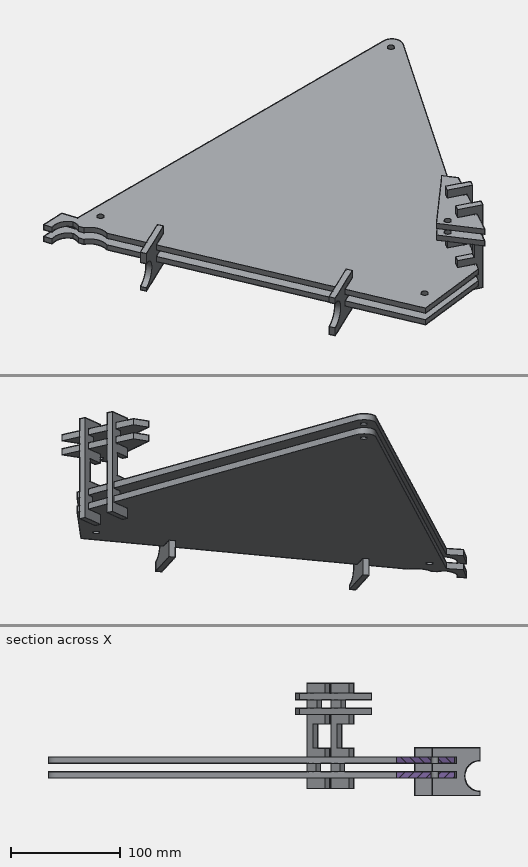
import cadquery as cq
import math

SHEET = 6.0
PLATE_PITCH = 13.5
SMALL_PLATE_Z = 58.0
HOLE_DIAMETER = 6.5
LARGE_LEVELS = [0, PLATE_PITCH]
SMALL_LEVELS = [SMALL_PLATE_Z, SMALL_PLATE_Z + PLATE_PITCH]

APEX_CENTRE = (171.3, 382.5)
APEX_RADIUS = 10.7
HEEL = (23.5, 30.0)
LEFT_EDGE_ANGLE = 68.7
RIGHT_CORNER = (385.5, 121.0)
RIGHT_EDGE_ANGLE = -52.5
LOWER_RIGHT_CORNER = (367.0, 48.0)
LOWER_EDGE_START = (57.5, 21.0)
FOOT_TOP_LEFT = (7.5, 30.0)
FOOT_BOTTOM_LEFT = (0, 7.0)
FOOT_BOTTOM_RIGHT = (8.7, 7.0)
FOOT_ARC_MIDDLE = (13.5, 18.3)
FOOT_ARC_END = (22.3, 22.5)
BUMP_LEFT = (30.0, 19.0)
BUMP_LEFT_MIDDLE = (26.2, 21.5)
BUMP_RIGHT = (35.0, 19.0)
HOLLOW_MIDDLE = (45.7, 24.0)
LARGE_HOLES = [(171.3, 380.5), (41.5, 41.0), (357.0, 67.5)]

SMALL_OUTLINE = [(327.5, 164.0), (342.5, 168.0), (397.5, 110.0), (353.5, 98.5)]
SMALL_HOLE = (361.2, 107.0)

LINK_ANGLE = 43.4
LINK_OUTER_CENTRES = [(362.0, 155.5), (383.0, 133.5)]
LINK_BOTTOM = -9.5
LINK_TOP = 86.5
LINK_SPINE = 8.5
LINK_ARM = 24.2
LARGE_TOOTH = 12.0
SMALL_TOOTH = 13.0
WINDOW_BOTTOM = 27.5
WINDOW_TOP = 49.3

CRADLE_ANGLE = -85.1
CRADLE_PLACEMENTS = [
    ((101.0, 43.5), 2.0),
    ((284.5, 59.2), 7.0),
]
CRADLE_BOTTOM = -16.0
CRADLE_TOP = 28.0
CRADLE_LENGTH = 43.7
CRADLE_SEAT_RADIUS = 14.0
CRADLE_SLOT_FLOOR = 9.5


def polar(centre, radius, angle):
    """Point at a distance and direction, in degrees, from a centre."""
    turn = math.radians(angle)
    return (centre[0] + radius * math.cos(turn), centre[1] + radius * math.sin(turn))


def upright_sheet(profile, end_centre, angle):
    """Extrude a (distance, height) profile and stand it up with distance running along an angle."""
    sheet = profile.extrude(SHEET / 2, both=True)
    return sheet.rotate((0, 0, 0), (0, 0, 1), angle).translate((*end_centre, 0))


def make_link(centre):
    spine, arm = -LINK_SPINE, -LINK_ARM
    large_tooth, small_tooth = -LARGE_TOOTH, -SMALL_TOOTH
    lower_large, upper_large = LARGE_LEVELS
    lower_small, upper_small = SMALL_LEVELS
    profile = (
        cq.Workplane("XZ")
        .moveTo(0, LINK_BOTTOM)
        .lineTo(arm, LINK_BOTTOM)
        .lineTo(arm, lower_large).lineTo(spine, lower_large)
        .lineTo(spine, lower_large + SHEET).lineTo(large_tooth, lower_large + SHEET)
        .lineTo(large_tooth, upper_large).lineTo(spine, upper_large)
        .lineTo(spine, upper_large + SHEET).lineTo(arm, upper_large + SHEET)
        .lineTo(arm, WINDOW_BOTTOM).lineTo(spine, WINDOW_BOTTOM)
        .lineTo(spine, WINDOW_TOP).lineTo(arm, WINDOW_TOP)
        .lineTo(arm, lower_small).lineTo(spine, lower_small)
        .lineTo(spine, lower_small + SHEET).lineTo(small_tooth, lower_small + SHEET)
        .lineTo(small_tooth, upper_small).lineTo(spine, upper_small)
        .lineTo(spine, upper_small + SHEET).lineTo(arm, upper_small + SHEET)
        .lineTo(arm, LINK_TOP)
        .lineTo(0, LINK_TOP)
        .close()
    )
    return upright_sheet(profile, centre, LINK_ANGLE)


def make_cradle(centre, seat_height):
    profile = cq.Workplane("XZ").moveTo(0, CRADLE_BOTTOM)
    for level in LARGE_LEVELS:
        profile = (
            profile
            .lineTo(0, level).lineTo(CRADLE_SLOT_FLOOR, level)
            .lineTo(CRADLE_SLOT_FLOOR, level + SHEET).lineTo(0, level + SHEET)
        )
    profile = (
        profile
        .lineTo(0, CRADLE_TOP)
        .lineTo(CRADLE_LENGTH, CRADLE_TOP)
        .lineTo(CRADLE_LENGTH, seat_height + CRADLE_SEAT_RADIUS)
        .threePointArc(
            (CRADLE_LENGTH - CRADLE_SEAT_RADIUS, seat_height),
            (CRADLE_LENGTH, seat_height - CRADLE_SEAT_RADIUS),
        )
        .lineTo(CRADLE_LENGTH, CRADLE_BOTTOM)
        .close()
    )
    return upright_sheet(profile, centre, CRADLE_ANGLE)


def make_large_plate(level):
    plate = (
        cq.Workplane("XY", origin=(0, 0, level))
        .moveTo(*HEEL)
        .lineTo(*polar(APEX_CENTRE, APEX_RADIUS, LEFT_EDGE_ANGLE + 90))
        .threePointArc(
            polar(APEX_CENTRE, APEX_RADIUS, 90),
            polar(APEX_CENTRE, APEX_RADIUS, RIGHT_EDGE_ANGLE + 90),
        )
        .lineTo(*RIGHT_CORNER)
        .lineTo(*LOWER_RIGHT_CORNER)
        .lineTo(*LOWER_EDGE_START)
        .threePointArc(HOLLOW_MIDDLE, BUMP_RIGHT)
        .lineTo(*BUMP_LEFT)
        .threePointArc(BUMP_LEFT_MIDDLE, FOOT_ARC_END)
        .threePointArc(FOOT_ARC_MIDDLE, FOOT_BOTTOM_RIGHT)
        .lineTo(*FOOT_BOTTOM_LEFT)
        .lineTo(*FOOT_TOP_LEFT)
        .close()
        .extrude(SHEET)
    )
    holes = (
        cq.Workplane("XY", origin=(0, 0, level))
        .pushPoints(LARGE_HOLES).circle(HOLE_DIAMETER / 2).extrude(SHEET)
    )
    return plate.cut(holes)


def make_small_plate(level):
    plate = cq.Workplane("XY", origin=(0, 0, level)).polyline(SMALL_OUTLINE).close().extrude(SHEET)
    hole = (
        cq.Workplane("XY", origin=(0, 0, level))
        .center(*SMALL_HOLE).circle(HOLE_DIAMETER / 2).extrude(SHEET)
    )
    return plate.cut(hole)


links = [make_link(centre) for centre in LINK_OUTER_CENTRES]
cradles = [make_cradle(centre, seat_height) for centre, seat_height in CRADLE_PLACEMENTS]
large_plates = [make_large_plate(level) for level in LARGE_LEVELS]
small_plates = [make_small_plate(level) for level in SMALL_LEVELS]

for upright in links + cradles:
    large_plates = [plate.cut(upright) for plate in large_plates]
for link in links:
    small_plates = [plate.cut(link) for plate in small_plates]

bodies = large_plates + small_plates + links + cradles
result = cq.Compound.makeCompound([body.solids().val() for body in bodies])